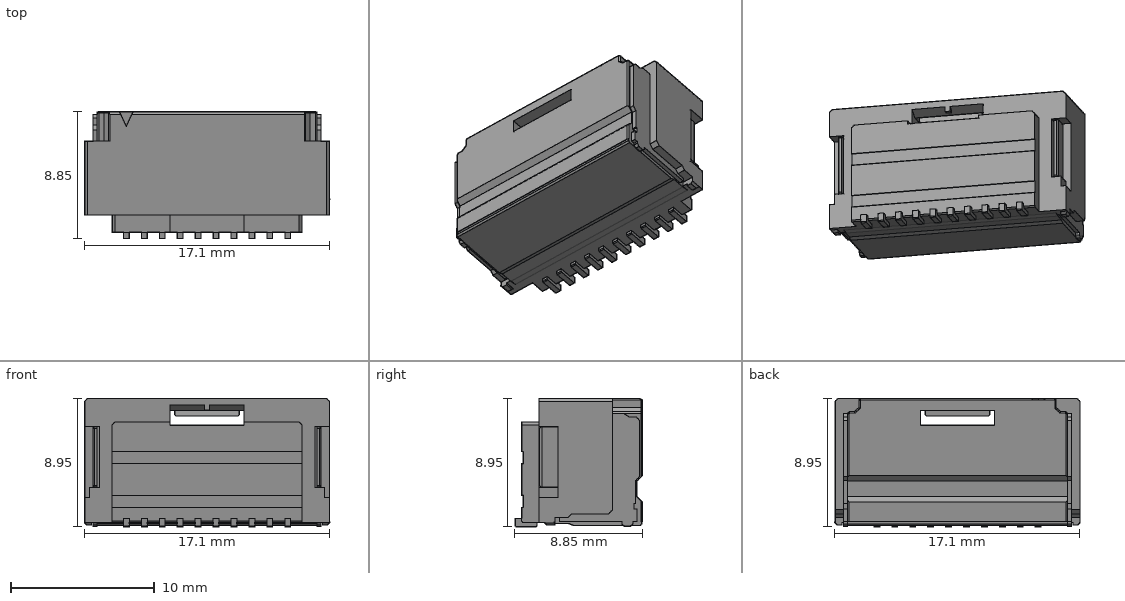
import cadquery as cq

top_z = 8.95
back_y = 8.85

shell_half_width = 8.53
shell_front_y = 1.65
shell_back_y = 6.79
shell_bottom_z = 0.29
side_wall_front_z = 0.65
side_wall_mid_z = 0.9
side_wall_mid_length = 2.56
side_wall_corner = 0.29
shell_edge_chamfer = 0.2

core_half_width = 7.66
core_bottom_z = 0.38
core_top_half_width = 6.87
core_top_chamfer = 0.1
ledge_half_width = 7.18
ledge_z = 8.02
ledge_slope_height = 0.29
ledge_edge_chamfer = 0.12
back_chamfer = 0.1
back_top_chamfer_length = 0.2

groove_mid_z = 2.65
groove_depth = 0.38
groove_floor_height = 1.08

pad_bottom_z = 0.09
pad_step_z = 0.22
pad_front_y = 3.73
pad_bevel = 0.35
pad_back_y = 8.82
pad_back_bevel = 0.12

block_half_width = 6.62
block_front_y = 0.45
block_top_z = 7.3
block_edge_chamfer = 0.2
block_toe_chamfer = 0.1
rib_groove_depth = 0.1
rib_groove_height = 0.84
rib_groove_bottoms = (1.35, 4.4)

window_half_width = 2.56
window_floor_z = 7.08
window_top_z = 8.48
ceiling_z = 8.09
ceiling_ramp_length = 0.75
key_width = 0.38
key_height = 0.35
key_length = 0.41
tongue_half_width = 2.25
tongue_height = 0.38
tongue_length = 1.03
tongue_lean = 0.09
tongue_corner = 0.1

plate_outer_x = 7.95
plate_thickness = 0.29
plate_back_y = 8.65
plate_front_y = 1.68
plate_bottom_z = 0.38
plate_nose_root_y = 3.08
plate_rear_overlap = 0.17
plate_top_z = 7.88
plate_top_slope_y = (7.58, 7.93)
plate_shoulder_z = 7.66
plate_shoulder_chamfer = 0.24
plate_waist_y = 8.38
plate_waist_top_z = 3.21
plate_waist_chamfer = 0.27
plate_notch_y = 8.28
plate_notch_z = (1.23, 1.65)
plate_heel_y = 8.48
plate_nose_chamfer = 0.1
plate_nose_bevel_length = 0.19
plate_nose_bevel_depth = 0.1
pocket_depth = 1.03
pocket_back_y = 2.98
pocket_bottom_z = 2.75
pocket_top_z = 6.98
pocket_gap = 0.03
step_depth = 0.36
step_bottom_z = 2.03
plate_foot_front_y = 7.42
plate_foot_bottom_z = 0.03
plate_foot_back_y = 8.2
plate_foot_chamfer = 0.17

foot_front_y = 2.02
foot_back_y = 2.77
foot_inner_x = 8.04
foot_bottom_z = 0.12
foot_bevel = 0.17
foot_side_chamfer = 0.15
nib_size = 0.05
nib_reach = 0.03

pin_count = 10
pin_pitch = 1.25
pin_width = 0.41
pin_height = 0.58
pin_length = 1.52
pin_chamfer = 0.07

mark_x = -5.63
mark_width = 0.95
mark_length = 1.03
mark_depth = 0.1


def box(x0, x1, y0, y1, z0, z1):
    return cq.Workplane("XY").box(x1 - x0, y1 - y0, z1 - z0, centered=False).translate((x0, y0, z0))


def side_prism(points, x0, x1):
    """Extrude a (y, z) outline from x0 to x1."""
    return cq.Workplane("YZ").workplane(offset=x0).polyline(points).close().extrude(x1 - x0)


def both_sides(right_half):
    return right_half.union(right_half.mirror("YZ"))


def make_shell():
    shell = box(-shell_half_width, shell_half_width, shell_front_y, shell_back_y, shell_bottom_z, top_z)
    shell = shell.edges("|Y and >Z").chamfer(shell_edge_chamfer)
    mid_back_y = shell_back_y - side_wall_corner
    mid_front_y = mid_back_y - side_wall_mid_length
    rise = side_wall_mid_z - side_wall_front_z
    relief = [
        (foot_back_y, 0),
        (foot_back_y, side_wall_front_z),
        (mid_front_y - rise, side_wall_front_z),
        (mid_front_y, side_wall_mid_z),
        (mid_back_y, side_wall_mid_z),
        (shell_back_y, side_wall_mid_z + side_wall_corner),
        (shell_back_y, 0),
    ]
    return shell.cut(both_sides(side_prism(relief, core_half_width, shell_half_width)))


def make_core():
    right = [
        (core_half_width, core_bottom_z),
        (core_half_width, ledge_z - ledge_edge_chamfer),
        (core_half_width - ledge_edge_chamfer, ledge_z),
        (ledge_half_width, ledge_z),
        (core_top_half_width, ledge_z + ledge_slope_height),
        (core_top_half_width, top_z - core_top_chamfer),
        (core_top_half_width - core_top_chamfer, top_z),
    ]
    left = [(-x, z) for x, z in reversed(right)]
    core = cq.Workplane("XZ").polyline(right + left).close().extrude(shell_front_y - back_y)
    core = core.translate((0, shell_front_y, 0))
    core = core.faces(">Y").edges("not <Z").chamfer(back_chamfer)
    top_bevel = [
        (back_y - back_top_chamfer_length, top_z),
        (back_y, top_z - back_chamfer),
        (back_y, top_z),
    ]
    return core.cut(side_prism(top_bevel, -core_half_width, core_half_width))


def make_pad():
    outline = [
        (shell_front_y, core_bottom_z),
        (foot_back_y, pad_step_z),
        (pad_front_y, pad_step_z),
        (pad_front_y + pad_bevel, pad_bottom_z),
        (pad_back_y - pad_back_bevel, pad_bottom_z),
        (pad_back_y, pad_bottom_z + pad_back_bevel),
        (pad_back_y, core_bottom_z),
    ]
    return side_prism(outline, -core_half_width, core_half_width)


def make_back_groove():
    half_floor = groove_floor_height / 2
    half_mouth = half_floor + groove_depth
    floor_y = back_y - groove_depth
    outline = [
        (back_y, groove_mid_z - half_mouth),
        (floor_y, groove_mid_z - half_floor),
        (floor_y, groove_mid_z + half_floor),
        (back_y, groove_mid_z + half_mouth),
    ]
    return side_prism(outline, -core_half_width, core_half_width)


def make_front_block():
    block = box(-block_half_width, block_half_width, block_front_y, shell_front_y, shell_bottom_z, block_top_z)
    block = block.edges("|Y and >Z").chamfer(block_edge_chamfer)
    block = block.edges("|X and <Y and <Z").chamfer(block_toe_chamfer)
    for z in rib_groove_bottoms:
        block = block.cut(box(-block_half_width, block_half_width, block_front_y,
                              block_front_y + rib_groove_depth, z, z + rib_groove_height))
    return block


def make_passage():
    outline = [
        (0, window_floor_z),
        (0, window_top_z),
        (shell_front_y, window_top_z),
        (shell_front_y + ceiling_ramp_length, ceiling_z),
        (back_y, ceiling_z),
        (back_y, window_floor_z),
    ]
    return side_prism(outline, -window_half_width, window_half_width)


def make_key():
    return box(-key_width / 2, key_width / 2, shell_front_y, shell_front_y + key_length,
               window_top_z - key_height, window_top_z)


def make_tongue():
    front_y = shell_front_y + ceiling_ramp_length
    outline = [
        (front_y, ceiling_z - tongue_height),
        (front_y + tongue_lean, ceiling_z),
        (front_y + tongue_length, ceiling_z),
        (front_y + tongue_length, ceiling_z - tongue_height),
    ]
    tongue = side_prism(outline, -tongue_half_width, tongue_half_width)
    return tongue.edges("|Y and <Z").chamfer(tongue_corner)


def make_pocket():
    pocket = box(shell_half_width - pocket_depth, shell_half_width, shell_front_y, pocket_back_y,
                 pocket_bottom_z, pocket_top_z)
    step = box(shell_half_width - step_depth, shell_half_width, shell_front_y, pocket_back_y,
               step_bottom_z, pocket_bottom_z)
    return both_sides(pocket.union(step))


def make_plate():
    nose_bottom = pocket_bottom_z + pocket_gap
    nose_top = pocket_top_z - pocket_gap
    rear_y = shell_back_y - plate_rear_overlap
    slope_start_y, slope_end_y = plate_top_slope_y
    notch_bottom, notch_top = plate_notch_z
    outline = [
        (plate_nose_root_y, plate_bottom_z),
        (plate_nose_root_y, nose_bottom),
        (plate_front_y + plate_nose_chamfer, nose_bottom),
        (plate_front_y, nose_bottom + plate_nose_chamfer),
        (plate_front_y, nose_top - plate_nose_chamfer),
        (plate_front_y + plate_nose_chamfer, nose_top),
        (rear_y, nose_top),
        (rear_y, plate_top_z),
        (slope_start_y, plate_top_z),
        (slope_end_y, plate_shoulder_z),
        (plate_back_y - plate_shoulder_chamfer, plate_shoulder_z),
        (plate_back_y, plate_shoulder_z - plate_shoulder_chamfer),
        (plate_back_y, plate_waist_top_z + plate_waist_chamfer),
        (plate_waist_y, plate_waist_top_z),
        (plate_waist_y, notch_top),
        (plate_notch_y, notch_top),
        (plate_notch_y, notch_bottom),
        (plate_heel_y, notch_bottom),
        (plate_heel_y, plate_bottom_z),
    ]
    inner_x = plate_outer_x - plate_thickness
    plate = side_prism(outline, inner_x, plate_outer_x)
    nose_bevel = [
        (plate_outer_x, plate_front_y + plate_nose_bevel_length),
        (plate_outer_x, plate_front_y),
        (plate_outer_x - plate_nose_bevel_depth, plate_front_y),
    ]
    plate = plate.cut(cq.Workplane("XY").polyline(nose_bevel).close().extrude(top_z))
    foot = box(inner_x, plate_outer_x, plate_foot_front_y, plate_foot_back_y,
              plate_foot_bottom_z, plate_bottom_z)
    foot = foot.edges("|X and <Z").chamfer(plate_foot_chamfer)
    return both_sides(plate.union(foot))


def make_shell_foot():
    outline = [
        (foot_front_y, shell_bottom_z),
        (foot_front_y + foot_bevel, foot_bottom_z),
        (foot_back_y, foot_bottom_z),
        (foot_back_y, shell_bottom_z),
    ]
    foot = side_prism(outline, foot_inner_x, shell_half_width)
    return both_sides(foot.edges("|Y and >X and <Z").chamfer(foot_side_chamfer))


def make_nib():
    return box(shell_half_width, shell_half_width + nib_reach, foot_back_y - nib_size, foot_back_y,
               shell_bottom_z, shell_bottom_z + nib_size)


def make_pins():
    first_x = -pin_pitch * (pin_count - 1) / 2
    pins = cq.Workplane("XY")
    for i in range(pin_count):
        x = first_x + i * pin_pitch
        pin = box(x - pin_width / 2, x + pin_width / 2, 0, pin_length, 0, pin_height)
        pins = pins.union(pin.edges("|X and <Z").chamfer(pin_chamfer))
    return pins


def make_mark():
    half = mark_width / 2
    points = [(mark_x - half, back_y), (mark_x + half, back_y), (mark_x, back_y - mark_length)]
    return cq.Workplane("XY").workplane(offset=top_z - mark_depth).polyline(points).close().extrude(mark_depth)


body = make_shell().union(make_core()).union(make_pad()).union(make_front_block())
body = body.cut(make_back_groove()).cut(make_passage()).cut(make_pocket()).cut(make_mark())
body = body.union(make_key()).union(make_tongue()).union(make_plate()).union(make_shell_foot())
result = body.union(make_nib()).union(make_pins())